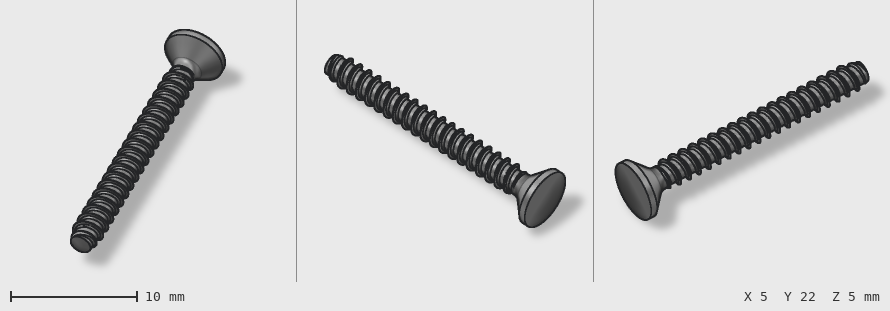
import cadquery as cq
import math

LENGTH = 22.0

HEAD_RADIUS = 5.0 / 2
HEAD_RIM_DEPTH = 0.57
CONE_ANGLE = 45.0
CONE_END_DEPTH = 1.83
SHANK_RADIUS = 0.97
SHANK_END_DEPTH = 2.68

cone_end_radius = HEAD_RADIUS - (CONE_END_DEPTH - HEAD_RIM_DEPTH) * math.tan(math.radians(CONE_ANGLE))
neck_length = (cone_end_radius - SHANK_RADIUS) / math.tan(math.radians(CONE_ANGLE / 2))
neck_end_depth = CONE_END_DEPTH + neck_length

CORE_RADIUS = 0.88
TIP_RADIUS = 0.85
TIP_POINT_HEIGHT = 0.05

CREST_RADIUS = 1.23
CREST_WIDTH = 0.055
BLADE_FOOT_RADIUS = 1.01
BLADE_FOOT_WIDTH = 0.15
THREAD_ROOT_RADIUS = 0.8
THREAD_ROOT_WIDTH = 0.77

THREAD_START_DEPTH = 2.29
THREAD_LENGTH = 19.55
THREAD_TURNS = 20.6
RUN_IN_END_DEPTH = 3.4
RUN_OUT_START_DEPTH = 20.64
BLANK_CLEARANCE = 0.02


def turn(profile):
    """Revolve a closed half-profile about the Z axis."""
    return profile.revolve(360, (0, 0, 0), (0, 1, 0))


def make_head():
    """Head, neck fillet and plain shank, with the head top at Z = 0."""
    return turn(
        cq.Workplane("XZ")
        .lineTo(HEAD_RADIUS, 0)
        .lineTo(HEAD_RADIUS, HEAD_RIM_DEPTH)
        .lineTo(cone_end_radius, CONE_END_DEPTH)
        .tangentArcPoint((SHANK_RADIUS, neck_end_depth), relative=False)
        .lineTo(SHANK_RADIUS, SHANK_END_DEPTH)
        .lineTo(0, SHANK_END_DEPTH)
        .close()
    )


def make_core():
    """Plain rod inside the thread, reaching up into the head."""
    core_length = LENGTH - HEAD_RIM_DEPTH
    return cq.Workplane("XY", origin=(0, 0, HEAD_RIM_DEPTH)).circle(CORE_RADIUS).extrude(core_length)


def make_thread_ridge():
    """Full-height helical ridge, starting on the +X side."""
    half_section = [
        (THREAD_ROOT_RADIUS, THREAD_ROOT_WIDTH / 2),
        (BLADE_FOOT_RADIUS, BLADE_FOOT_WIDTH / 2),
        (CREST_RADIUS, CREST_WIDTH / 2),
    ]
    mirrored_half = [(radius, -offset) for radius, offset in reversed(half_section)]
    helix = cq.Wire.makeHelix(THREAD_LENGTH / THREAD_TURNS, THREAD_LENGTH, CORE_RADIUS)
    ridge = (
        cq.Workplane("XZ")
        .polyline(half_section + mirrored_half)
        .close()
        .sweep(cq.Workplane(helix), isFrenet=True)
    )
    return ridge.translate((0, 0, THREAD_START_DEPTH))


def make_blank():
    """Turned outline that the threaded rod is trimmed to: run-in, run-out and tip."""
    blank_radius = CREST_RADIUS + BLANK_CLEARANCE
    return turn(
        cq.Workplane("XZ")
        .lineTo(SHANK_RADIUS, 0)
        .lineTo(SHANK_RADIUS, neck_end_depth)
        .lineTo(blank_radius, RUN_IN_END_DEPTH)
        .lineTo(blank_radius, RUN_OUT_START_DEPTH)
        .lineTo(TIP_RADIUS, LENGTH - TIP_POINT_HEIGHT)
        .lineTo(0, LENGTH)
        .close()
    )


full_rod = make_core().union(make_thread_ridge(), clean=False)
threaded_rod = full_rod.intersect(make_blank(), clean=False)
screw = make_head().union(threaded_rod, clean=False)

result = screw.rotate((0, 0, 0), (1, 0, 0), 90)